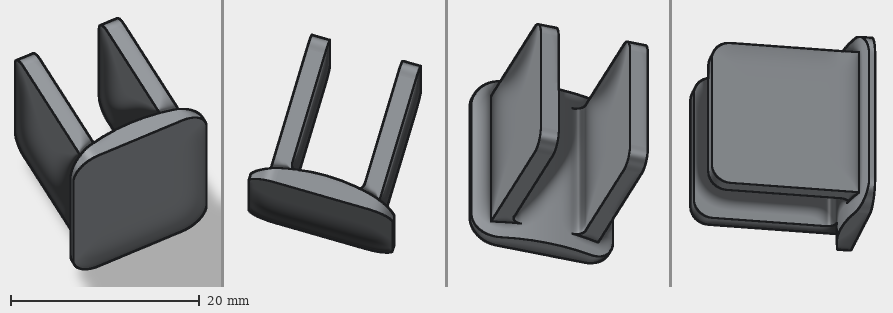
import cadquery as cq

flange_height = 19.9
flange_width = 15.9
flange_center_thickness = 2.25
flange_edge_thickness = 0.65
flange_corner_radius = 2.95

total_length = 17.25
prong_height = 16.0
prong_thickness = 2.0
prong_outer_span = 12.02
prong_corner_radius = 1.99
root_fillet_radius = 1.0

back_x = total_length / 2
tip_x = -total_length / 2
crown_x = back_x - flange_center_thickness
edge_x = back_x - flange_edge_thickness
half_width = flange_width / 2
prong_inner_y = prong_outer_span / 2 - prong_thickness


def make_flange():
    """Plate with a flat back, a cylindrical bulge in front and rounded corners."""
    return (
        cq.Workplane("XY")
        .moveTo(back_x, -half_width)
        .lineTo(back_x, half_width)
        .lineTo(edge_x, half_width)
        .threePointArc((crown_x, 0), (edge_x, -half_width))
        .close()
        .extrude(flange_height / 2, both=True)
        .edges("|X")
        .fillet(flange_corner_radius)
    )


def make_prong(side):
    """Flat prong with rounded tip corners, on the +Y (1) or -Y (-1) side."""
    center_y = side * (prong_inner_y + prong_thickness / 2)
    return (
        cq.Workplane("XY")
        .box(edge_x - tip_x, prong_thickness, prong_height)
        .edges("|Y and <X")
        .fillet(prong_corner_radius)
        .translate(((tip_x + edge_x) / 2, center_y, 0))
    )


result = make_flange()
for side in (-1, 1):
    result = result.union(make_prong(side))

corner_reach = prong_inner_y + prong_thickness / 2
inner_root_corners = cq.selectors.BoxSelector(
    (crown_x, -corner_reach, -corner_reach),
    (edge_x, corner_reach, corner_reach),
)
result = result.edges("|Z").edges(inner_root_corners).fillet(root_fillet_radius)